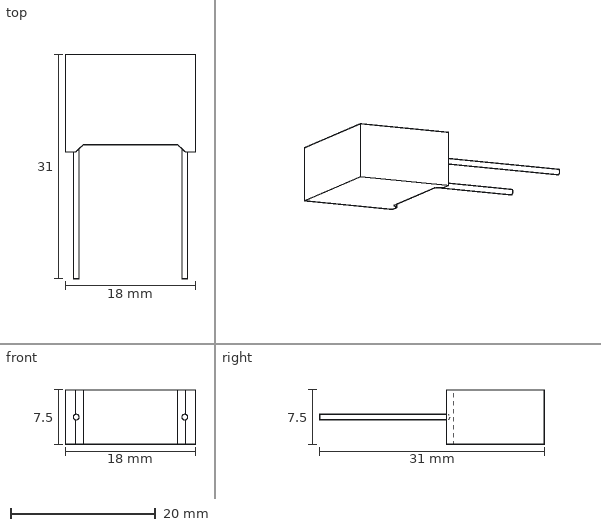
import cadquery as cq


case_width = 18.0
case_depth = 13.5
case_height = 7.5

foot_width = 1.4
ramp_width = 1.1
recess_depth = 1.0

overall_depth = 31.0
lead_pitch = 15.0
lead_diameter = 0.8
lead_length = overall_depth - case_depth
lead_embed = 2.0


def make_case():
    half_width = case_width / 2
    ramp_start = half_width - foot_width
    ramp_end = ramp_start - ramp_width
    outline = [
        (-half_width, case_depth),
        (-half_width, 0),
        (-ramp_start, 0),
        (-ramp_end, recess_depth),
        (ramp_end, recess_depth),
        (ramp_start, 0),
        (half_width, 0),
        (half_width, case_depth),
    ]
    return (
        cq.Workplane("XY")
        .polyline(outline)
        .close()
        .extrude(case_height / 2, both=True)
    )


def make_lead(x):
    return (
        cq.Workplane("XZ", origin=(x, lead_embed, 0))
        .circle(lead_diameter / 2)
        .extrude(lead_embed + lead_length)
    )


result = make_case()
for side in (-1, 1):
    result = result.union(make_lead(side * lead_pitch / 2))